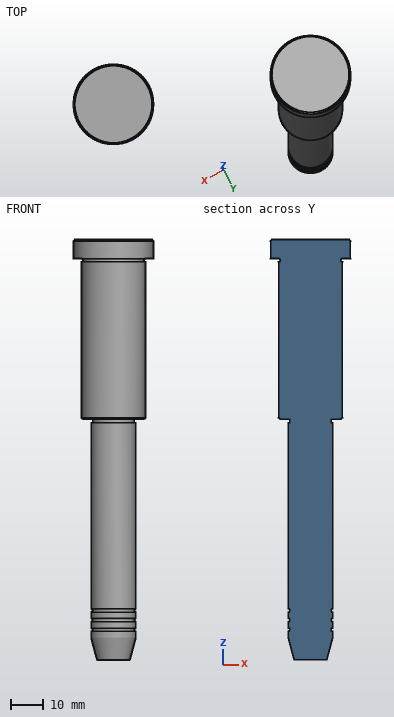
import cadquery as cq
import math

TOTAL_LENGTH = 131.0

HEAD_RADIUS = 25.0 / 2
HEAD_THICKNESS = 6.0
HEAD_CHAMFER = 0.5

BODY_RADIUS = 20.0 / 2
BODY_LENGTH = 50.0
BODY_CHAMFER = 0.5

PIN_RADIUS = 14.0 / 2

NECK_HEIGHT = 1.0
NECK_DEPTH = 0.5

GROOVE_RADIUS = 0.5

TIP_LENGTH = 7.0
TIP_HALF_ANGLE = 15.0
TIP_FILLET = 0.5

GROOVE_COUNT = 3
GROOVE_PITCH = 3.0
FIRST_GROOVE_OFFSET = 2.5

HEAD_BOTTOM_Z = TOTAL_LENGTH - HEAD_THICKNESS
BODY_BOTTOM_Z = HEAD_BOTTOM_Z - BODY_LENGTH


def cylinder(radius, bottom_z, height):
    return cq.Workplane("XY").workplane(offset=bottom_z).circle(radius).extrude(height)


def half_round_groove(shaft_radius, center_z):
    """Torus centred on the shaft surface, which cuts a half-round groove."""
    section = cq.Workplane("XZ").center(shaft_radius, center_z).circle(GROOVE_RADIUS)
    return section.revolve(360, (-shaft_radius, 0), (-shaft_radius, 1))


def make_head():
    head = cylinder(HEAD_RADIUS, HEAD_BOTTOM_Z, HEAD_THICKNESS)
    return head.faces(">Z").edges().chamfer(HEAD_CHAMFER)


def make_body():
    body = cylinder(BODY_RADIUS, BODY_BOTTOM_Z, BODY_LENGTH)
    body = body.faces("<Z").edges().chamfer(BODY_CHAMFER)
    relief_center_z = HEAD_BOTTOM_Z - GROOVE_RADIUS
    return body.cut(half_round_groove(BODY_RADIUS, relief_center_z))


def make_pin():
    tip_radius = PIN_RADIUS - TIP_LENGTH * math.tan(math.radians(TIP_HALF_ANGLE))
    neck_radius = PIN_RADIUS - NECK_DEPTH
    neck_bottom_z = BODY_BOTTOM_Z - NECK_HEIGHT
    half_profile = [
        (0, 0),
        (tip_radius, 0),
        (PIN_RADIUS, TIP_LENGTH),
        (PIN_RADIUS, neck_bottom_z),
        (neck_radius, neck_bottom_z),
        (neck_radius, BODY_BOTTOM_Z),
        (0, BODY_BOTTOM_Z),
    ]
    pin = cq.Workplane("XZ").polyline(half_profile).close().revolve(360, (0, 0), (0, 1))
    pin = pin.faces("<Z").edges().fillet(TIP_FILLET)
    for index in range(GROOVE_COUNT):
        groove_center_z = TIP_LENGTH + FIRST_GROOVE_OFFSET + index * GROOVE_PITCH
        pin = pin.cut(half_round_groove(PIN_RADIUS, groove_center_z))
    return pin


result = make_head().union(make_body()).union(make_pin())